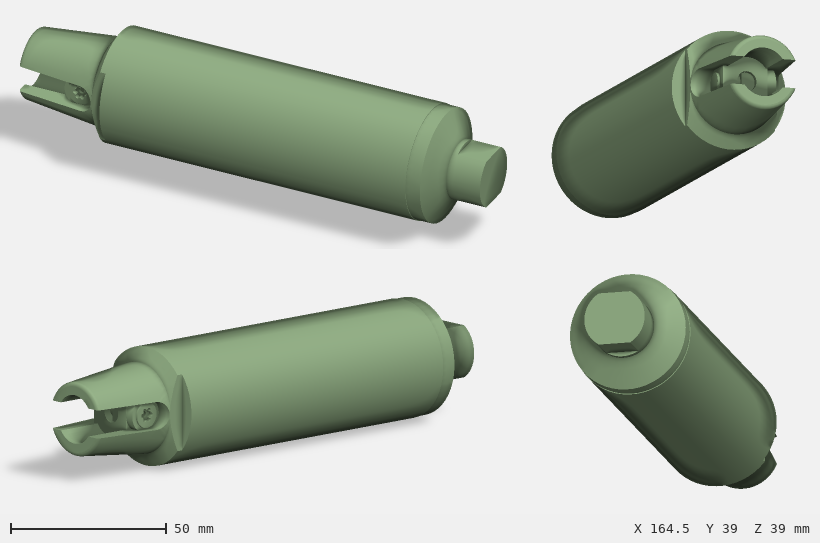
import cadquery as cq
import math

total_length = 164.5
nose_length = 28
nose_tip_diameter = 24.0
nose_end_diameter = 30.1
nose_tip_fillet = 1.3
shoulder_end = 31.1
body_diameter = 39.0
collar_start = 142.5
collar_end = 147.5
collar_diameter = 38.5
shank_start = 152.5
shank_diameter = 20.0

shoulder_flats_width = 30.0
shoulder_flats_end = 33.0
shank_flats_height = 17.1
shank_flats_start = 154.3

bore_diameter = 16.0
bore_depth = 16.0
slot_width = 9.2
slot_end = 27.6
front_slot_floor = -7.0
rear_slot_floor = 8.2

axial_hole_diameter = 6.5
axial_hole_depth = 1.6
relief_edge = 1.3

disc_diameter = 11.5
disc_face = -10.0
screw_x = bore_depth + disc_diameter / 2
screw_diameter = 6.5
screw_tip = 9.0
screw_head_diameter = 8.4
screw_head_face = -10.7
lobe_count = 6
socket_core_diameter = 3.6
socket_lobe_diameter = 1.3
socket_depth = 1.6
pilot_diameter = 2.1
pilot_depth = 0.8

SIDE = 2 * body_diameter


def block(x_range, y_range, z_range):
    """Box spanning the given (start, end) pairs."""
    spans = (x_range, y_range, z_range)
    sizes = [end - start for start, end in spans]
    corner = tuple(start for start, end in spans)
    return cq.Workplane("XY").box(*sizes, centered=False).translate(corner)


def x_cylinder(diameter, start, end):
    return cq.Workplane("YZ", origin=(start, 0, 0)).circle(diameter / 2).extrude(end - start)


def y_cylinder(diameter, start, end, x, z=0):
    return cq.Workplane("XZ", origin=(x, start, z)).circle(diameter / 2).extrude(start - end)


def turned_body():
    profile = [
        (0, 0),
        (0, nose_tip_diameter / 2),
        (nose_length, nose_end_diameter / 2),
        (shoulder_end, body_diameter / 2),
        (collar_start, body_diameter / 2),
        (collar_start, collar_diameter / 2),
        (collar_end, collar_diameter / 2),
        (shank_start, shank_diameter / 2),
        (total_length, shank_diameter / 2),
        (total_length, 0),
    ]
    body = cq.Workplane("XY").polyline(profile).close().revolve(360, (0, 0, 0), (1, 0, 0))
    return body.faces("<X").edges().fillet(nose_tip_fillet)


def cut_flats(body):
    for side in (1, -1):
        y_range = sorted((side * shoulder_flats_width / 2, side * SIDE))
        body = body.cut(block((0, shoulder_flats_end), y_range, (-SIDE, SIDE)))
        z_range = sorted((side * shank_flats_height / 2, side * SIDE))
        body = body.cut(block((shank_flats_start, total_length), (-SIDE, SIDE), z_range))
    return body


def side_slot(start, end):
    """Slot open at the nose tip with a half-round inner end, cut between two Y places."""
    round_x = slot_end - slot_width / 2
    straight = block((0, round_x), (start, end), (-slot_width / 2, slot_width / 2))
    return straight.union(y_cylinder(slot_width, start, end, round_x))


def cut_fork(body):
    body = body.cut(x_cylinder(bore_diameter, 0, bore_depth))
    body = body.cut(block((0, bore_depth), (-SIDE, SIDE), (-slot_width / 2, slot_width / 2)))
    body = body.cut(side_slot(-SIDE, front_slot_floor))
    return body.cut(side_slot(rear_slot_floor, SIDE))


def cut_axial_hole(body):
    body = body.cut(x_cylinder(axial_hole_diameter, bore_depth, bore_depth + axial_hole_depth))
    relief = x_cylinder(axial_hole_diameter, bore_depth, screw_x)
    relief = relief.intersect(block((0, screw_x), (relief_edge, SIDE), (-SIDE, SIDE)))
    screw_shank = y_cylinder(screw_diameter, 0, screw_tip, screw_x)
    return body.cut(relief.cut(screw_shank))


def add_disc_and_screw(body):
    disc = y_cylinder(disc_diameter, front_slot_floor, disc_face, screw_x)
    disc = disc.intersect(side_slot(-SIDE, front_slot_floor))
    head = y_cylinder(screw_head_diameter, disc_face, screw_head_face, screw_x)
    tip = y_cylinder(screw_diameter, rear_slot_floor, screw_tip, screw_x)
    return body.union(disc).union(head).union(tip)


def cut_socket(body):
    """Six-lobed driver socket in the screw head, with a round pilot hole in its floor."""
    floor = screw_head_face + socket_depth
    socket = y_cylinder(socket_core_diameter, screw_head_face, floor, screw_x)
    for lobe in range(lobe_count):
        angle = 2 * math.pi * lobe / lobe_count
        x = screw_x + socket_core_diameter / 2 * math.cos(angle)
        z = socket_core_diameter / 2 * math.sin(angle)
        socket = socket.union(y_cylinder(socket_lobe_diameter, screw_head_face, floor, x, z))
    pilot = y_cylinder(pilot_diameter, floor, floor + pilot_depth, screw_x)
    return body.cut(socket).cut(pilot)


result = turned_body()
result = cut_flats(result)
result = cut_fork(result)
result = cut_axial_hole(result)
result = add_disc_and_screw(result)
result = cut_socket(result)